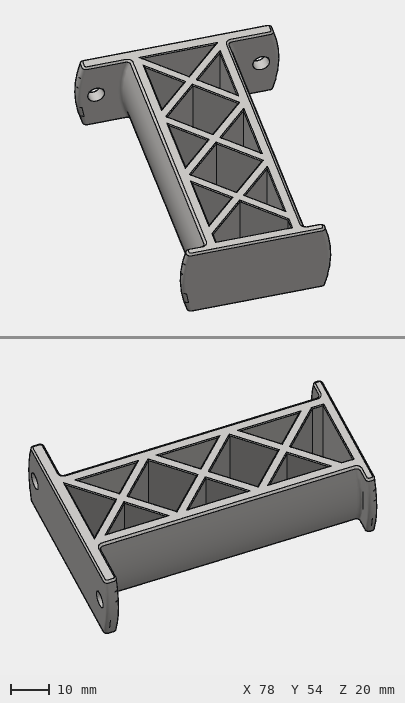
import cadquery as cq
LENGTH = 78.0
HEIGHT = 20.0

WIDE_PLATE_WIDTH = 54.0
WIDE_PLATE_THICKNESS = 3.5
NARROW_PLATE_WIDTH = 39.9
NARROW_PLATE_THICKNESS = 2.5
PLATE_BULGE = 1.6

BODY_WIDTH = 29.95
BODY_BULGE = 2.0

OPENING_WIDTH = 20.0
OPENING_END_WALL = 3.0
RIB_WIDTH = 2.6
RIB_ANGLES = (45, -45)
CROSSING_COUNT = 3
CROSSING_PITCH = 22.55
FIRST_CROSSING_X = 15.1

HOLE_DIAMETER = 4.45
HOLE_SPACING = 44.0

CORNER_RADIUS = 1.0
OUTER_CHAMFER = 0.5
OPENING_CHAMFER = 0.27

WIDE_PLATE_INNER_X = WIDE_PLATE_THICKNESS
NARROW_PLATE_INNER_X = LENGTH - NARROW_PLATE_THICKNESS


def bulged_block(x_start, x_end, width, bulge):
    """Block along X whose two Y sides bow outward to the full width at mid height."""
    half_width = width / 2
    half_base = half_width - bulge
    return (
        cq.Workplane("YZ", origin=(x_start, 0, 0))
        .moveTo(-half_base, 0)
        .lineTo(half_base, 0)
        .threePointArc((half_width, HEIGHT / 2), (half_base, HEIGHT))
        .lineTo(-half_base, HEIGHT)
        .threePointArc((-half_width, HEIGHT / 2), (-half_base, 0))
        .close()
        .extrude(x_end - x_start)
    )


def end_plate(x_start, x_end, width):
    """Bulged plate with its curved end edges rounded on both faces."""
    plate = bulged_block(x_start, x_end, width, PLATE_BULGE)
    return plate.edges("%CIRCLE").fillet(CORNER_RADIUS)


def round_inside_corners(solid, x_face):
    """Fillet the two curved edges where the body sides meet a plate face."""
    tolerance = 0.01
    near_body_outline = cq.selectors.BoxSelector(
        (x_face - tolerance, -BODY_WIDTH / 2, 0),
        (x_face + tolerance, BODY_WIDTH / 2, HEIGHT),
    )
    return solid.edges("%CIRCLE").edges(near_body_outline).fillet(CORNER_RADIUS)


def lattice_openings():
    """Rectangular opening with the X-shaped ribs left standing."""
    x_start = WIDE_PLATE_INNER_X
    x_end = LENGTH - OPENING_END_WALL
    openings = (
        cq.Workplane("XY", origin=((x_start + x_end) / 2, 0, 0))
        .rect(x_end - x_start, OPENING_WIDTH)
        .extrude(HEIGHT)
    )
    rib_length = 2 * OPENING_WIDTH
    for index in range(CROSSING_COUNT):
        x_crossing = FIRST_CROSSING_X + index * CROSSING_PITCH
        for angle in RIB_ANGLES:
            rib = (
                cq.Workplane("XY", origin=(x_crossing, 0, 0))
                .transformed(rotate=(0, 0, angle))
                .rect(rib_length, RIB_WIDTH)
                .extrude(HEIGHT)
            )
            openings = openings.cut(rib)
    return openings


def chamfer_opening_rims(solid):
    """Chamfer the top rim of every opening in the top face."""
    top_face = solid.faces(">Z").val()
    rim_edges = [edge for wire in top_face.innerWires() for edge in wire.Edges()]
    return solid.newObject(rim_edges).chamfer(OPENING_CHAMFER)


def screw_holes():
    """Pair of pins along X, at mid height of the wide plate."""
    return (
        cq.Workplane("YZ", origin=(0, 0, HEIGHT / 2))
        .pushPoints([(-HOLE_SPACING / 2, 0), (HOLE_SPACING / 2, 0)])
        .circle(HOLE_DIAMETER / 2)
        .extrude(WIDE_PLATE_THICKNESS)
    )


wide_plate = end_plate(0, WIDE_PLATE_INNER_X, WIDE_PLATE_WIDTH)
narrow_plate = end_plate(NARROW_PLATE_INNER_X, LENGTH, NARROW_PLATE_WIDTH)
body = bulged_block(WIDE_PLATE_INNER_X, NARROW_PLATE_INNER_X, BODY_WIDTH, BODY_BULGE)
part = body.union(wide_plate).union(narrow_plate).clean()
part = round_inside_corners(part, WIDE_PLATE_INNER_X)
part = round_inside_corners(part, NARROW_PLATE_INNER_X)

part = part.faces(">Z").edges().chamfer(OUTER_CHAMFER)

part = part.cut(lattice_openings())
part = chamfer_opening_rims(part)
result = part.cut(screw_holes())